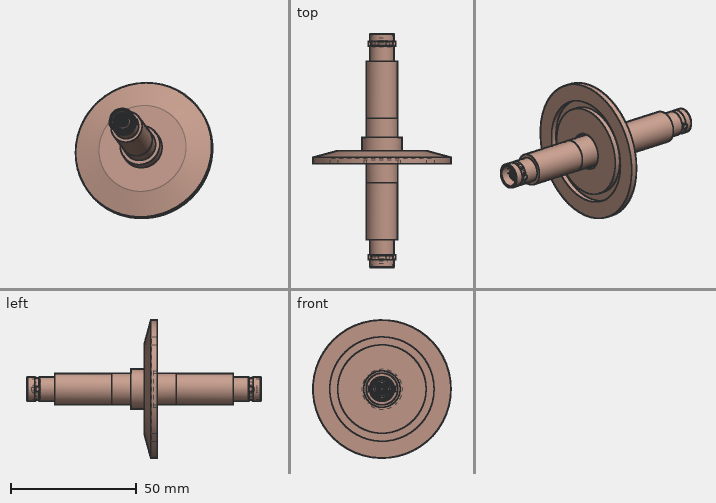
import cadquery as cq


half_length = 46.45
sleeve_end = 35.5
sleeve_start = 12.7
collar_length = 5.2
flange_thickness = 5.3
flange_rim_thickness = 2.6

flange_radius = 54.9 / 2
flange_back_radius = 17.6
collar_radius = 8.0
sleeve_radius = 12.5 / 2
shaft_radius = 6.3
socket_radius = 9.8 / 2

ring_groove_outer_radius = 20.7
ring_groove_inner_radius = 17.6
ring_groove_depth = 2.3
clearance_radius = 7.2
clearance_depth = 1.7

bayonet_offset = 4.1
bayonet_groove_width = 1.95
bayonet_groove_depth = 0.5
bayonet_pin_radius = 1.0
bayonet_pin_span = 11.1
groove_y = half_length - bayonet_offset

rim_chamfer = 0.3
bore_radius = 4.1
bore_depth = 5.2
bore_floor = half_length - bore_depth
bore_floor_chamfer = 0.5
mouth_chamfer = 0.2
insulator_radius = 2.9
insulator_chamfer = 0.7
insulator_tip_depth = 2.7
insulator_hole_radius = 1.7
contact_radius = 1.3
contact_tip_depth = 1.8
contact_hole_radius = 0.65
contact_hole_depth = 1.9


def turned(points):
    """Solid of revolution about Y from a closed (radius, y) outline."""
    return cq.Workplane("XY").polyline(points).close().revolve(360, (0, 0, 0), (0, 1, 0))


def disc(radius, y_start, y_end):
    """Round bar along Y between two stations."""
    return turned([(0, y_start), (radius, y_start), (radius, y_end), (0, y_end)])


def ring(inner_radius, outer_radius, y_start, y_end):
    """Tube along Y between two stations."""
    return disc(outer_radius, y_start, y_end).cut(disc(inner_radius, y_start, y_end))


def make_flange():
    """Flange with a tapered back, a rear collar and a grooved front face."""
    rim_back = flange_rim_thickness - flange_thickness
    body = turned([
        (0, -flange_thickness),
        (flange_radius, -flange_thickness),
        (flange_radius, rim_back),
        (flange_back_radius, 0),
        (collar_radius, 0),
        (collar_radius, collar_length),
        (0, collar_length),
    ])
    ring_groove = ring(
        ring_groove_inner_radius,
        ring_groove_outer_radius,
        -flange_thickness,
        ring_groove_depth - flange_thickness,
    )
    clearance = disc(clearance_radius, -flange_thickness, clearance_depth - flange_thickness)
    return body.cut(ring_groove).cut(clearance)


def make_half_shaft_body():
    """Solid shaft half pointing to +Y, with the rounded bayonet groove."""
    groove_start = groove_y - bayonet_groove_width / 2
    groove_end = groove_y + bayonet_groove_width / 2
    groove_bottom_radius = socket_radius - bayonet_groove_depth
    return (
        cq.Workplane("XY")
        .lineTo(shaft_radius, 0)
        .lineTo(shaft_radius, sleeve_start)
        .lineTo(sleeve_radius, sleeve_start)
        .lineTo(sleeve_radius, sleeve_end)
        .lineTo(socket_radius, sleeve_end)
        .lineTo(socket_radius, groove_start)
        .threePointArc((groove_bottom_radius, groove_y), (socket_radius, groove_end))
        .lineTo(socket_radius, half_length - rim_chamfer)
        .lineTo(socket_radius - rim_chamfer, half_length)
        .lineTo(0, half_length)
        .close()
        .revolve(360, (0, 0, 0), (0, 1, 0))
    )


def make_bayonet_pins():
    """Two opposite pins along X, as one bar through the groove."""
    return (
        cq.Workplane("YZ")
        .center(groove_y, 0)
        .circle(bayonet_pin_radius)
        .extrude(bayonet_pin_span / 2, both=True)
    )


def make_bore():
    """Socket bore with chamfers at the mouth and around the floor."""
    return turned([
        (0, bore_floor),
        (bore_radius - bore_floor_chamfer, bore_floor),
        (bore_radius, bore_floor + bore_floor_chamfer),
        (bore_radius, half_length - mouth_chamfer),
        (bore_radius + mouth_chamfer, half_length),
        (0, half_length),
    ])


def make_insulator():
    """Insulating sleeve with a chamfered tip, standing on the bore floor."""
    tip = half_length - insulator_tip_depth
    return turned([
        (insulator_hole_radius, bore_floor),
        (insulator_radius, bore_floor),
        (insulator_radius, tip - insulator_chamfer),
        (insulator_radius - insulator_chamfer, tip),
        (insulator_hole_radius, tip),
    ])


def make_contact():
    """Centre contact with a blind hole, standing on the bore floor."""
    tip = half_length - contact_tip_depth
    hole = disc(contact_hole_radius, tip - contact_hole_depth, tip)
    return disc(contact_radius, bore_floor, tip).cut(hole)


def make_half_shaft():
    """Complete shaft half with its bayonet socket."""
    shell = make_half_shaft_body().union(make_bayonet_pins()).cut(make_bore())
    return shell.union(make_insulator()).union(make_contact())


half_shaft = make_half_shaft()
result = make_flange().union(half_shaft).union(half_shaft.mirror("XZ"))